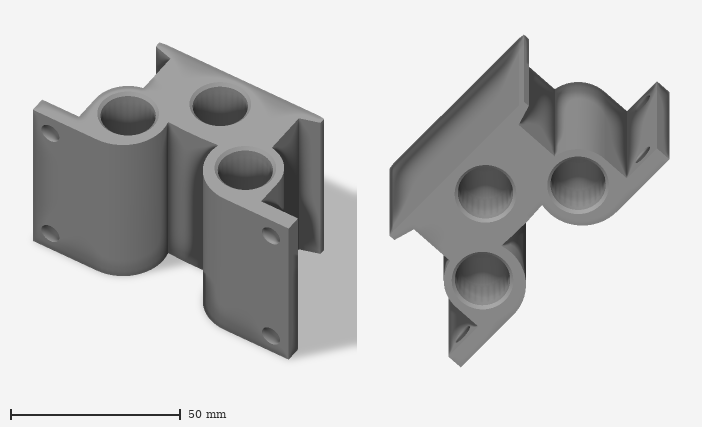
import cadquery as cq
import math

width = 90.0
depth = 44.0
height = 55.0

flange_thickness = 5.0
screw_diameter = 6.3
screw_spacing_x = 77.6
screw_spacing_z = 42.0

bore_diameter = 15.3
bore_throat_diameter = 16.3
bore_taper_length = 15.8
bore_mouth_diameter = 18.2
side_bore_x = 20.6
side_bore_y = 14.0
middle_bore_y = 32.1

housing_radius = 11.4
inner_curve_radius = side_bore_y
inner_curve_x = 22.4

body_half_width = 22.6
bridge_corner_y = 17.55
bridge_middle_y = 17.2

lip_half_width = 29.0
lip_back_half_width = 27.1
lip_back_drop = 0.3
lip_tip_y = 41.8
lip_root_y = 39.9


def circle_point(center_x, center_y, radius, angle):
    """Point on a circle at an angle in degrees."""
    a = math.radians(angle)
    return (center_x + radius * math.cos(a), center_y + radius * math.sin(a))


def mirrored(point):
    return (-point[0], point[1])


def make_body():
    """Extrude the outline, which is symmetric about X = 0."""
    half_width = width / 2
    housing_side_x = side_bore_x + housing_radius
    shoulder_angle = math.degrees(math.acos((body_half_width - side_bore_x) / housing_radius))
    shoulder = circle_point(side_bore_x, side_bore_y, housing_radius, shoulder_angle)
    shoulder_mid = circle_point(side_bore_x, side_bore_y, housing_radius, shoulder_angle / 2)
    corner_angle = 180 - math.degrees(math.asin((bridge_corner_y - side_bore_y) / inner_curve_radius))
    corner = circle_point(inner_curve_x, side_bore_y, inner_curve_radius, corner_angle)
    curve_mid = circle_point(inner_curve_x, side_bore_y, inner_curve_radius, (corner_angle + 270) / 2)
    curve_end = (inner_curve_x, 0)
    flange = [(half_width, 0), (half_width, flange_thickness), (housing_side_x, flange_thickness)]
    housing_start = (housing_side_x, side_bore_y)
    lip = [
        (body_half_width, lip_root_y),
        (lip_half_width, lip_tip_y),
        (lip_half_width, depth - lip_back_drop),
        (lip_back_half_width, depth),
    ]

    outline = cq.Workplane("XY").moveTo(*mirrored(corner))
    outline = outline.threePointArc((0, bridge_middle_y), corner)
    outline = outline.threePointArc(curve_mid, curve_end)
    for point in flange + [housing_start]:
        outline = outline.lineTo(*point)
    outline = outline.threePointArc(shoulder_mid, shoulder)
    for point in lip:
        outline = outline.lineTo(*point)
    for point in reversed(lip):
        outline = outline.lineTo(*mirrored(point))
    outline = outline.lineTo(*mirrored(shoulder))
    outline = outline.threePointArc(mirrored(shoulder_mid), mirrored(housing_start))
    for point in reversed(flange):
        outline = outline.lineTo(*mirrored(point))
    outline = outline.lineTo(*mirrored(curve_end))
    outline = outline.threePointArc(mirrored(curve_mid), mirrored(corner))
    return outline.close().extrude(height)


def make_bore(x, y):
    """Through bore, the same at both ends: 45 degree chamfer, slight taper, then straight."""
    mouth_radius = bore_mouth_diameter / 2
    throat_radius = bore_throat_diameter / 2
    bore_radius = bore_diameter / 2
    chamfer_depth = mouth_radius - throat_radius
    taper_depth = chamfer_depth + bore_taper_length
    half_profile = [
        (0, 0),
        (mouth_radius, 0),
        (throat_radius, chamfer_depth),
        (bore_radius, taper_depth),
        (bore_radius, height - taper_depth),
        (throat_radius, height - chamfer_depth),
        (mouth_radius, height),
        (0, height),
    ]
    bore = cq.Workplane("XZ").polyline(half_profile).close().revolve(360, (0, 0, 0), (0, 1, 0))
    return bore.translate((x, y, 0))


def make_screw_holes():
    """Four holes through the flanges, running along Y."""
    return (
        cq.Workplane("XZ", origin=(0, 0, height / 2))
        .rarray(screw_spacing_x, screw_spacing_z, 2, 2)
        .circle(screw_diameter / 2)
        .extrude(-flange_thickness)
    )


bore_centers = [(-side_bore_x, side_bore_y), (0, middle_bore_y), (side_bore_x, side_bore_y)]

result = make_body()
for center_x, center_y in bore_centers:
    result = result.cut(make_bore(center_x, center_y))
result = result.cut(make_screw_holes())